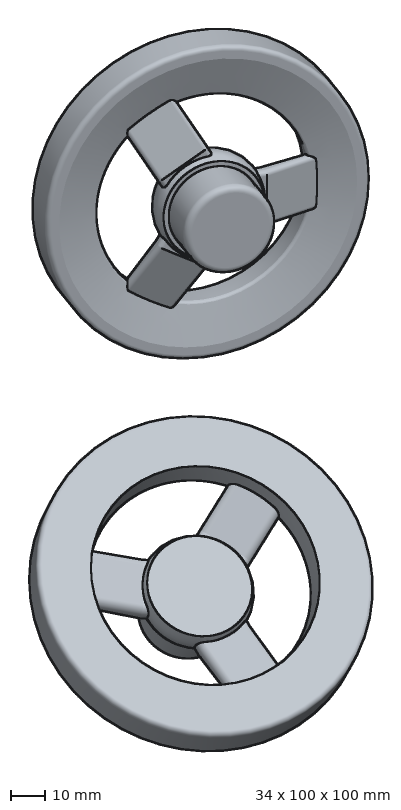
import cadquery as cq
import math

rim_diameter = 100
rim_width = 14
rim_edge_radius = 1.5
bore_front_radius = 34
bore_back_radius = 33
bore_depth = 10.3
back_land_radius = 46
bore_edge_radius = 1

hub_front = 9
hub_back = 19
hub_face_radius = 15.6
hub_crown_radius = 16.9
boss_diameter = 28
boss_end = 34
boss_edge_radius = 2

spoke_count = 3
spoke_width = 17.5
spoke_back = 16.8
spoke_thickness = 5.5
spoke_front_edge_radius = 2.5
spoke_back_edge_radius = 1.5
spoke_front_slope = 15.5
spoke_back_slope = 19
spoke_front_bend_radius = 16.3
spoke_back_bend_radius = 17.2
spoke_start_radius = 8
spoke_end_radius = 35.5


def make_rim():
    """Ring about the X axis with a tapered bore, dished back and rounded edges."""
    profile = (
        cq.Workplane("XY")
        .moveTo(0, bore_front_radius)
        .lineTo(0, rim_diameter / 2)
        .lineTo(rim_width, rim_diameter / 2)
        .lineTo(rim_width, back_land_radius)
        .lineTo(bore_depth, bore_back_radius)
        .close()
    )
    ring = profile.revolve(360, (0, 0, 0), (1, 0, 0))
    smallest = cq.selectors.RadiusNthSelector(0)
    largest = cq.selectors.RadiusNthSelector(-1)
    ring = ring.edges("%CIRCLE").edges(smallest).fillet(bore_edge_radius)
    return ring.edges("%CIRCLE").edges(largest).fillet(rim_edge_radius)


def make_hub():
    """Disc with an arched rim, and the boss behind it."""
    crown_middle = (hub_front + hub_back) / 2
    disc = (
        cq.Workplane("XY")
        .moveTo(hub_front, 0)
        .lineTo(hub_front, hub_face_radius)
        .threePointArc((crown_middle, hub_crown_radius), (hub_back, hub_face_radius))
        .lineTo(hub_back, 0)
        .close()
        .revolve(360, (0, 0, 0), (1, 0, 0))
    )
    boss = (
        cq.Workplane("YZ", origin=(hub_back, 0, 0))
        .circle(boss_diameter / 2)
        .extrude(boss_end - hub_back)
        .faces(">X")
        .edges()
        .fillet(boss_edge_radius)
    )
    return disc.union(boss)


def round_long_edges(bar, bend_x, bend_y, radius):
    """Fillet the side edges that meet at the ends of one bend line."""

    def starts_at_bend(edge):
        at_bend = [v for v in edge.Vertices() if math.hypot(v.X - bend_x, v.Y - bend_y) < 0.01]
        return len(at_bend) == 1

    return bar.newObject([edge for edge in bar.edges().vals() if starts_at_bend(edge)]).fillet(radius)


def make_spoke():
    """Bent bar along +Y with its long edges rounded."""
    spoke_front = spoke_back - spoke_thickness
    front_run = spoke_end_radius - spoke_front_bend_radius
    front_drop = front_run * math.tan(math.radians(spoke_front_slope))
    back_run = spoke_end_radius - spoke_back_bend_radius
    back_drop = back_run * math.tan(math.radians(spoke_back_slope))
    bar = (
        cq.Workplane("XY")
        .moveTo(spoke_front, spoke_start_radius)
        .lineTo(spoke_front, spoke_front_bend_radius)
        .lineTo(spoke_front - front_drop, spoke_end_radius)
        .lineTo(spoke_back - back_drop, spoke_end_radius)
        .lineTo(spoke_back, spoke_back_bend_radius)
        .lineTo(spoke_back, spoke_start_radius)
        .close()
        .extrude(spoke_width / 2, both=True)
    )
    bar = round_long_edges(bar, spoke_front, spoke_front_bend_radius, spoke_front_edge_radius)
    return round_long_edges(bar, spoke_back, spoke_back_bend_radius, spoke_back_edge_radius)


result = make_rim().union(make_hub())
spoke = make_spoke()
for index in range(spoke_count):
    angle = index * 360 / spoke_count
    result = result.union(spoke.rotate((0, 0, 0), (1, 0, 0), angle))